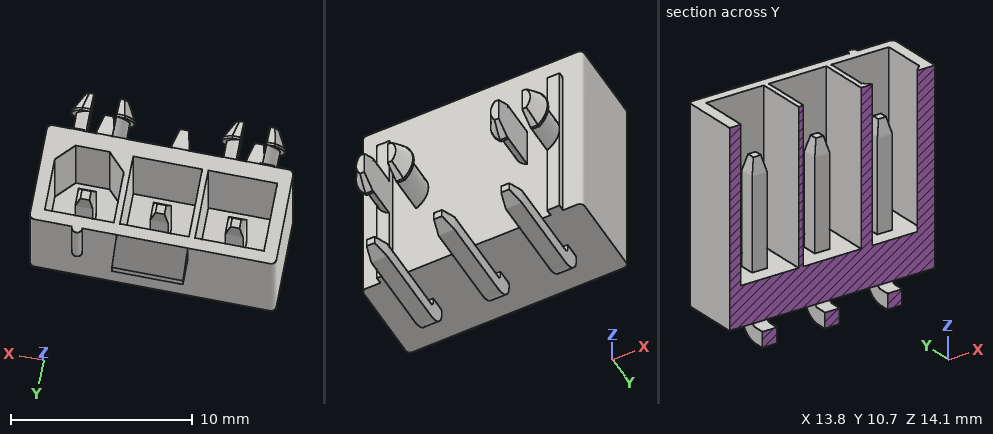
import cadquery as cq
import math


PIN_COUNT = 3
PITCH = 4.2
HOUSING_WIDTH = 13.8
TOTAL_HEIGHT = 14.05
HOUSING_HEIGHT = 12.4
PIN_TO_FRONT = 2.9
PIN_TO_BACK = 2.5
CORNER_RADIUS = 0.3
FRONT_Y = -PIN_TO_FRONT
BACK_Y = PIN_TO_BACK

CAVITY_SIZE = 3.86
CAVITY_OFFSET_Y = -0.07
CAVITY_DEPTH = 9.84
KEY_CHAMFER = 0.98

PIN_SIZE = 1.0
PIN_TIP_SIZE = 0.5
PIN_TIP_LENGTH = 1.0
PIN_DROP = TOTAL_HEIGHT - HOUSING_HEIGHT
PIN_REACH = 6.8
PIN_RECESS = 2.95
BEND_INNER_RADIUS = 0.3

PEG_SPACING = 2 * PITCH
PEG_RADIUS = 1.5
PEG_SLOT = 1.46
PEG_Z = HOUSING_HEIGHT / 2
PEG_LIP_RADIUS = 1.77
PEG_TIP_RADIUS = 1.24
PEG_LIP_START = 2.16
PEG_LIP_THICKNESS = 0.14
PEG_LENGTH = 3.3
PEG_TIP_HALF_HEIGHT = 0.75

RIB_HEIGHT = 10.75
RIB_DEPTH = 0.41

LATCH_WIDTH = 3.98
LATCH_REACH = 1.4
LATCH_RAMP_DROP = 2.11
LATCH_TIP_DROP = 3.09
LATCH_ROOT_DROP = 3.02
BEAD_RADIUS = 0.3
BEAD_LENGTH = 6.27

PIN_XS = [(i - (PIN_COUNT - 1) / 2) * PITCH for i in range(PIN_COUNT)]
KEYED_X = PIN_XS[-1]
EMBED = 0.14


def box(x_min, x_max, y_min, y_max, z_min, z_max):
    size = (x_max - x_min, y_max - y_min, z_max - z_min)
    return cq.Workplane("XY").box(*size, centered=False).translate((x_min, y_min, z_min))


def make_housing():
    half = HOUSING_WIDTH / 2
    body = box(-half, half, FRONT_Y, BACK_Y, 0, HOUSING_HEIGHT)
    return body.edges("|Z").fillet(CORNER_RADIUS)


def make_cavity(x):
    half = CAVITY_SIZE / 2
    cavity = box(
        x - half, x + half,
        CAVITY_OFFSET_Y - half, CAVITY_OFFSET_Y + half,
        HOUSING_HEIGHT - CAVITY_DEPTH, HOUSING_HEIGHT,
    )
    if x == KEYED_X:
        cavity = cavity.edges("|Z and <Y").chamfer(KEY_CHAMFER)
    return cavity


def make_pin_tip(plane):
    return (
        cq.Workplane(plane)
        .rect(PIN_SIZE, PIN_SIZE)
        .workplane(offset=PIN_TIP_LENGTH)
        .rect(PIN_TIP_SIZE, PIN_TIP_SIZE)
        .loft(ruled=True)
    )


def make_pin(x):
    half = PIN_SIZE / 2
    shaft_top = HOUSING_HEIGHT - PIN_RECESS - PIN_TIP_LENGTH
    tail_end = -PIN_REACH + PIN_TIP_LENGTH
    tail_top = -PIN_DROP + PIN_SIZE
    bend_y = -half - BEND_INNER_RADIUS
    bend_z = tail_top + BEND_INNER_RADIUS
    outer_radius = BEND_INNER_RADIUS + PIN_SIZE
    diagonal = math.sqrt(0.5)
    outer_mid = (bend_y + outer_radius * diagonal, bend_z - outer_radius * diagonal)
    inner_mid = (bend_y + BEND_INNER_RADIUS * diagonal, bend_z - BEND_INNER_RADIUS * diagonal)
    bar = (
        cq.Workplane("YZ")
        .moveTo(half, shaft_top)
        .lineTo(half, bend_z)
        .threePointArc(outer_mid, (bend_y, -PIN_DROP))
        .lineTo(tail_end, -PIN_DROP)
        .lineTo(tail_end, tail_top)
        .lineTo(bend_y, tail_top)
        .threePointArc(inner_mid, (-half, bend_z))
        .lineTo(-half, shaft_top)
        .close()
        .extrude(half, both=True)
    )
    contact_tip = make_pin_tip("XY").translate((0, 0, shaft_top))
    tail_tip = make_pin_tip("XZ").translate((0, tail_end, tail_top - half))
    return bar.union(contact_tip).union(tail_tip).translate((x, 0, 0))


def make_peg(x):
    cone_start = -PEG_LIP_START - PEG_LIP_THICKNESS
    half_height = math.sqrt(PEG_RADIUS**2 - (PEG_SLOT / 2) ** 2)
    turned = (
        cq.Workplane("XY")
        .polyline([
            (0, EMBED),
            (PEG_RADIUS, EMBED),
            (PEG_RADIUS, -PEG_LIP_START),
            (PEG_LIP_RADIUS, -PEG_LIP_START),
            (PEG_LIP_RADIUS, cone_start),
            (PEG_TIP_RADIUS, -PEG_LENGTH),
            (0, -PEG_LENGTH),
        ])
        .close()
        .revolve(360, (0, 0, 0), (0, 1, 0))
    )
    flats = (
        cq.Workplane("YZ")
        .polyline([
            (EMBED, half_height),
            (cone_start, half_height),
            (-PEG_LENGTH, PEG_TIP_HALF_HEIGHT),
            (-PEG_LENGTH, -PEG_TIP_HALF_HEIGHT),
            (cone_start, -half_height),
            (EMBED, -half_height),
        ])
        .close()
        .extrude(PEG_LIP_RADIUS, both=True)
    )
    slot = box(-PEG_SLOT / 2, PEG_SLOT / 2, -PEG_LENGTH, EMBED, -PEG_RADIUS, PEG_RADIUS)
    return turned.intersect(flats).cut(slot).translate((x, FRONT_Y, PEG_Z))


def make_rib():
    inner = PEG_SPACING / 2 + PEG_SLOT / 2
    outer = PEG_SPACING / 2 + PEG_RADIUS
    return box(inner, outer, FRONT_Y - RIB_DEPTH, FRONT_Y + EMBED, 0, RIB_HEIGHT)


def make_latch():
    return (
        cq.Workplane("YZ")
        .polyline([
            (BACK_Y - EMBED, HOUSING_HEIGHT),
            (BACK_Y, HOUSING_HEIGHT),
            (BACK_Y + LATCH_REACH, HOUSING_HEIGHT - LATCH_RAMP_DROP),
            (BACK_Y + LATCH_REACH, HOUSING_HEIGHT - LATCH_TIP_DROP),
            (BACK_Y, HOUSING_HEIGHT - LATCH_ROOT_DROP),
            (BACK_Y - EMBED, HOUSING_HEIGHT - LATCH_ROOT_DROP),
        ])
        .close()
        .extrude(LATCH_WIDTH / 2, both=True)
    )


def make_bead():
    return (
        cq.Workplane("XY", origin=(KEYED_X, BACK_Y, HOUSING_HEIGHT))
        .circle(BEAD_RADIUS)
        .extrude(-BEAD_LENGTH)
    )


result = make_housing().union(make_latch()).union(make_bead())

rib = make_rib()
result = result.union(rib).union(rib.mirror("YZ"))
for peg_x in (-PEG_SPACING / 2, PEG_SPACING / 2):
    result = result.union(make_peg(peg_x))

for pin_x in PIN_XS:
    result = result.cut(make_cavity(pin_x)).union(make_pin(pin_x))